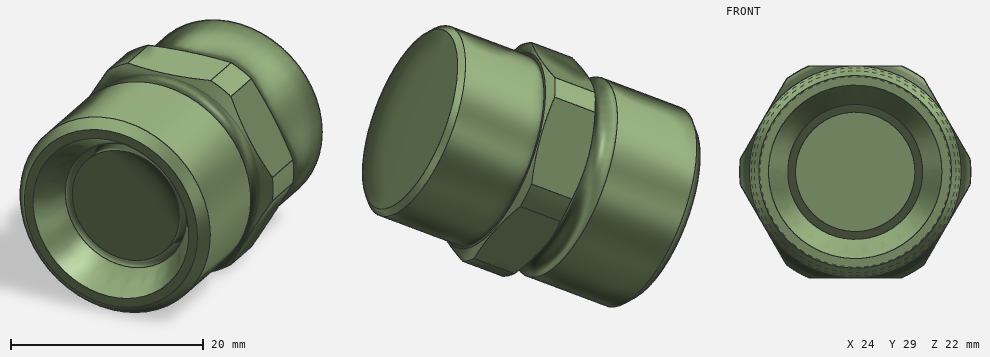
import cadquery as cq
import math

overall_length = 29.0

front_collar_radius = 22.0 / 2
front_collar_length = 10.5
front_chamfer = 1.0

rear_collar_radius = 20.96 / 2
rear_chamfer = 0.6

hex_sides = 6
hex_across_flats = 22.0
hex_corner_radius = 24.0 / 2
hex_front = 13.0
hex_length = 6.0
hex_rear = hex_front + hex_length
hex_front_face_radius = 10.75
hex_front_bevel_angle = 30.0
hex_rear_face_radius = 10.8
hex_rear_bevel_length = 0.45

groove_floor_radius = 10.0
groove_floor_position = (front_collar_length + hex_front) / 2

cone_mouth_radius = 18.0 / 2
bore_radius = 14.0 / 2
cone_depth = 3.5
bore_depth = 10.0
core_radius = 12.39 / 2
core_face_depth = cone_depth


def revolve_about_y(profile):
    """Turn a profile, drawn as (radius, Y), a full circle about the Y axis."""
    return profile.close().revolve(360, (0, 0, 0), (0, 1, 0))


def turned_blank():
    """Both collars, the groove, and a round flange holding the bevels of the hexagon."""
    front_bevel_height = hex_corner_radius - hex_front_face_radius
    front_bevel_length = front_bevel_height * math.tan(math.radians(hex_front_bevel_angle))
    return revolve_about_y(
        cq.Workplane("XY")
        .moveTo(0, 0)
        .lineTo(front_collar_radius - front_chamfer, 0)
        .lineTo(front_collar_radius, front_chamfer)
        .lineTo(front_collar_radius, front_collar_length)
        .threePointArc((groove_floor_radius, groove_floor_position), (hex_front_face_radius, hex_front))
        .lineTo(hex_corner_radius, hex_front + front_bevel_length)
        .lineTo(hex_corner_radius, hex_rear - hex_rear_bevel_length)
        .lineTo(hex_rear_face_radius, hex_rear)
        .lineTo(rear_collar_radius, hex_rear)
        .lineTo(rear_collar_radius, overall_length - rear_chamfer)
        .lineTo(rear_collar_radius - rear_chamfer, overall_length)
        .lineTo(0, overall_length)
    )


def hexagonal_bar():
    """Full-length hexagonal bar with two flats facing up and down."""
    sharp_corner_diameter = hex_across_flats / math.cos(math.pi / hex_sides)
    return cq.Workplane("XZ").polygon(hex_sides, sharp_corner_diameter).extrude(-overall_length)


def front_recess():
    """Cone and bore, leaving the core standing inside an annular gap."""
    return revolve_about_y(
        cq.Workplane("XY")
        .moveTo(0, 0)
        .lineTo(cone_mouth_radius, 0)
        .lineTo(bore_radius, cone_depth)
        .lineTo(bore_radius, bore_depth)
        .lineTo(core_radius, bore_depth)
        .lineTo(core_radius, core_face_depth)
        .lineTo(0, core_face_depth)
    )


result = turned_blank().intersect(hexagonal_bar()).cut(front_recess())